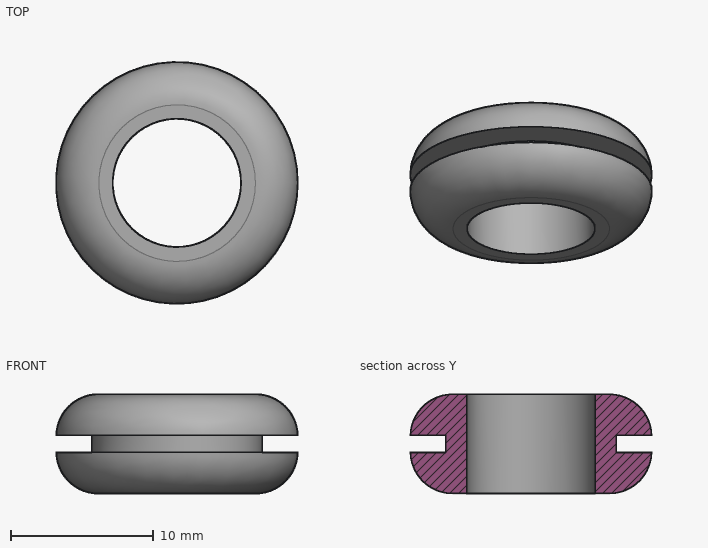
import cadquery as cq

outer_diameter = 17.0
height = 7.0
bore_diameter = 9.0
face_diameter = 11.0
neck_diameter = 12.0
groove_width = 1.2

outer_radius = outer_diameter / 2
bore_radius = bore_diameter / 2
face_radius = face_diameter / 2
neck_radius = neck_diameter / 2
half_height = height / 2
half_groove = groove_width / 2

arc_run = outer_radius - face_radius
arc_drop = half_height - half_groove
arc_radius = (arc_run**2 + arc_drop**2) / (2 * arc_drop)

section = (
    cq.Workplane("XZ")
    .moveTo(bore_radius, -half_height)
    .lineTo(face_radius, -half_height)
    .radiusArc((outer_radius, -half_groove), -arc_radius)
    .lineTo(neck_radius, -half_groove)
    .lineTo(neck_radius, half_groove)
    .lineTo(outer_radius, half_groove)
    .radiusArc((face_radius, half_height), -arc_radius)
    .lineTo(bore_radius, half_height)
    .close()
)

result = section.revolve(360, (0, 0, 0), (0, 1, 0))